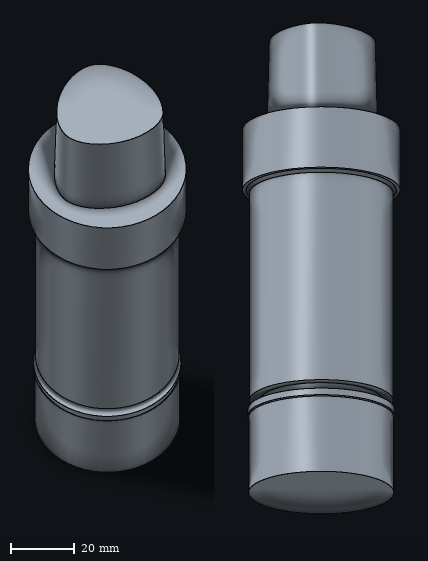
import cadquery as cq
import math

total_length = 150.0

lower_diameter = 46.0
collar_diameter = 46.7
groove_diameter = 39.0
barrel_diameter = 45.5
flange_diameter = 49.98

lower_height = 24.9
collar_height = 2.15
groove_height = 3.0
flange_cone_height = 1.0
flange_height = 20.0

taper_length = 30.0
taper_base_width = 35.17
taper_ratio = 1.0 / 20.0
lobe_eccentricity = 1.12
lobe_count = 3
lobe_direction = math.radians(-90.0)
points_per_lobe = 12

collar_cone_height = (collar_diameter - lower_diameter) / 2
flange_cone_diameter = barrel_diameter + 2 * flange_cone_height

collar_bottom = lower_height + collar_cone_height
collar_top = collar_bottom + collar_height
barrel_bottom = collar_top + groove_height
flange_top = total_length - taper_length
flange_bottom = flange_top - flange_height
barrel_top = flange_bottom - flange_cone_height
taper_top_width = taper_base_width - taper_length * taper_ratio


def lobed_point(width, angle):
    """Point where the tangent's normal points along angle, on a constant-width lobed curve."""
    lobe_phase = lobe_count * (angle - lobe_direction)
    support = width / 2 + lobe_eccentricity * math.cos(lobe_phase)
    slope = -lobe_count * lobe_eccentricity * math.sin(lobe_phase)
    x = support * math.cos(angle) - slope * math.sin(angle)
    y = support * math.sin(angle) + slope * math.cos(angle)
    return cq.Vector(x, y, 0)


def lobed_wire(width, z):
    """Closed smooth three-lobed outline at height z."""
    point_count = lobe_count * points_per_lobe
    points = []
    for i in range(point_count):
        angle = lobe_direction + 2 * math.pi * i / point_count
        points.append(lobed_point(width, angle) + cq.Vector(0, 0, z))
    return cq.Wire.assembleEdges([cq.Edge.makeSpline(points, periodic=True)])


def make_body():
    """Revolve the half profile of the round sections about Z."""
    return (
        cq.Workplane("XZ")
        .lineTo(lower_diameter / 2, 0)
        .lineTo(lower_diameter / 2, lower_height)
        .lineTo(collar_diameter / 2, collar_bottom)
        .lineTo(collar_diameter / 2, collar_top)
        .lineTo(groove_diameter / 2, collar_top)
        .lineTo(groove_diameter / 2, barrel_bottom)
        .lineTo(barrel_diameter / 2, barrel_bottom)
        .lineTo(barrel_diameter / 2, barrel_top)
        .lineTo(flange_cone_diameter / 2, flange_bottom)
        .lineTo(flange_diameter / 2, flange_bottom)
        .lineTo(flange_diameter / 2, flange_top)
        .lineTo(0, flange_top)
        .close()
        .revolve(360, (0, 0, 0), (0, 1, 0))
    )


def make_taper():
    """Loft the lobed outline from the flange to the narrower top face."""
    base = lobed_wire(taper_base_width, flange_top)
    top = lobed_wire(taper_top_width, total_length)
    return cq.Workplane(cq.Solid.makeLoft([base, top], True))


result = make_body().union(make_taper())